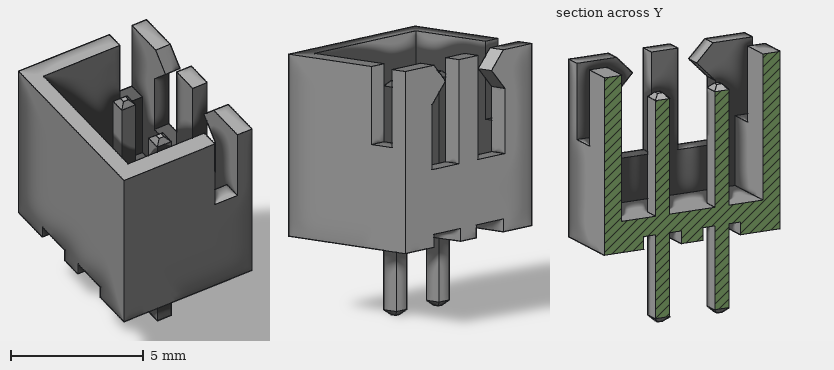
import cadquery as cq


pin_count = 2
pin_pitch = 2.54
pin_width = 0.62
pin_bottom = -3.0
pin_top = 6.0
tip_height = 0.2
tip_width = pin_width - 2 * tip_height

end_margin = 2.5
housing_length = (pin_count - 1) * pin_pitch + 2 * end_margin
housing_depth = 5.7
housing_height = 7.0
pin_to_back = 2.54
back_y = pin_to_back
front_y = back_y - housing_depth
side_wall = 0.75
front_wall = 0.65
back_wall = 0.65

notch_height = 0.5
notch_width = 1.6

floor_z = notch_height + side_wall

side_slot_width = 1.0
side_slot_depth = 3.0

window_depth = 4.0
window_width = 1.6
post_half_width = 0.57
hook_reach = 0.8
hook_chamfer = 0.7
window_outer_x = post_half_width + window_width
hook_tip_x = window_outer_x - hook_reach


def box(x_range, y_range, z_range):
    """Axis-aligned box between the given limits."""
    x0, x1 = x_range
    y0, y1 = y_range
    z0, z1 = z_range
    return cq.Workplane("XY").box(x1 - x0, y1 - y0, z1 - z0, centered=False).translate((x0, y0, z0))


def make_shell():
    """Outer block with the open-topped cavity."""
    half_length = housing_length / 2
    cavity_half = half_length - side_wall
    block = box((-half_length, half_length), (front_y, back_y), (0, housing_height))
    cavity = box(
        (-cavity_half, cavity_half),
        (front_y + front_wall, back_y - back_wall),
        (floor_z, housing_height),
    )
    return block.cut(cavity)


def make_side_slots():
    """One cutter that slots both side walls, just in front of the back wall."""
    slot_back = back_y - back_wall
    return box(
        (-housing_length / 2, housing_length / 2),
        (slot_back - side_slot_width, slot_back),
        (housing_height - side_slot_depth, housing_height),
    )


def make_window(side):
    """Back-wall window on the given side (-1 or 1), narrowed by a hook with 45 degree faces."""
    window_z = housing_height - window_depth
    hook_top_x = hook_tip_x + hook_chamfer
    tip_z = housing_height - hook_chamfer
    hook_root_z = tip_z - hook_reach
    outline = [
        (side * post_half_width, window_z),
        (side * window_outer_x, window_z),
        (side * window_outer_x, hook_root_z),
        (side * hook_tip_x, tip_z),
        (side * hook_top_x, housing_height),
        (side * post_half_width, housing_height),
    ]
    return cq.Workplane("XZ", origin=(0, back_y, 0)).polyline(outline).close().extrude(back_wall)


def make_notch():
    """Notch across the underside, centred on X = 0."""
    return box((-notch_width / 2, notch_width / 2), (front_y, back_y), (0, notch_height))


def make_pin_tip(base_z, end_z):
    """Tapered pin end, shrinking from the pin width at base_z to the tip width at end_z."""
    return (
        cq.Workplane("XY", origin=(0, 0, base_z))
        .rect(pin_width, pin_width)
        .workplane(offset=end_z - base_z)
        .rect(tip_width, tip_width)
        .loft(ruled=True)
    )


def make_pin():
    """Square pin on the Z axis, with 45 degree tapers at both ends."""
    half_width = pin_width / 2
    side_range = (-half_width, half_width)
    lower_shoulder = pin_bottom + tip_height
    upper_shoulder = pin_top - tip_height
    shank = box(side_range, side_range, (lower_shoulder, upper_shoulder))
    lower_tip = make_pin_tip(lower_shoulder, pin_bottom)
    upper_tip = make_pin_tip(upper_shoulder, pin_top)
    return shank.union(lower_tip).union(upper_tip)


header = make_shell().cut(make_side_slots())
for side in (-1, 1):
    header = header.cut(make_window(side))

for index in range(pin_count):
    pin_x = (index - (pin_count - 1) / 2) * pin_pitch
    header = header.cut(make_notch().translate((pin_x, 0, 0)))
    header = header.union(make_pin().translate((pin_x, 0, 0)))

result = header